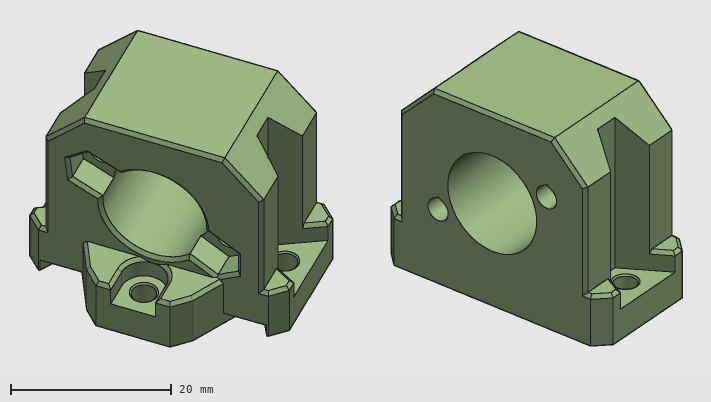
import cadquery as cq
import math


edge_chamfer = 0.5
chamfer_angle = 45

base_length = 35
base_depth = 18.0
base_height = 7.35
base_corner = 2.0

block_width = 29.4
block_height = 28
shoulder_chamfer = 5.25

lug_reach = 6.5
lug_root_half_width = block_width / 2 - shoulder_chamfer
lug_tip_half_width = 5.0
lug_tip_corner = 2.17
lug_embed = 1.75
lug_hole_y = -3.0
lug_seat_radius = 3.0

seat_height = 4.48
screw_diameter = 3.2
screw_rim_chamfer = 0.2

recess_floor_half_width = 1.75
recess_inner_x = 10.95
recess_taper = math.radians(30)
side_hole_x = 14
mid_y = base_depth / 2

bore_diameter = 14
bore_height = 14.98
nut_across_flats = 5.5
half_hexagon_angle = math.radians(30)
nut_pocket_depth = 4.0
nut_offset_x = 8.55
nut_offset_z = 4.15
left_slot_angle = -23.4
right_slot_angle = 150
teardrop_half_angle = math.radians(30)

undercut_height = 1.8
undercut_depth = 1.75
undercut_outer_x = 15.3
undercut_taper = math.radians(30)

lug_shoulder_half_width = lug_tip_half_width + lug_tip_corner
lug_shoulder_y = lug_tip_corner - lug_reach
flank_slope = (lug_root_half_width - lug_shoulder_half_width) / -lug_shoulder_y


def both_sides(solid):
    """Return the solid together with its mirror image across X = 0."""
    return solid.union(solid.mirror("YZ"))


def side_recesses():
    """Tapered vertical channels, open outwards and upwards."""
    outer_x = base_length / 2
    outer_half_width = recess_floor_half_width + (outer_x - recess_inner_x) * math.tan(recess_taper)
    channel = (
        cq.Workplane("XY", origin=(0, 0, seat_height))
        .moveTo(recess_inner_x, mid_y - recess_floor_half_width)
        .lineTo(outer_x, mid_y - outer_half_width)
        .lineTo(outer_x, mid_y + outer_half_width)
        .lineTo(recess_inner_x, mid_y + recess_floor_half_width)
        .close()
        .extrude(block_height)
    )
    return both_sides(channel)


def base_plate():
    """Plate with clipped corners and chamfered upper edges."""
    plate = (
        cq.Workplane("XY")
        .box(base_length, base_depth, base_height, centered=(True, False, False))
        .edges("|Z")
        .chamfer(base_corner)
    )
    return plate.cut(side_recesses()).faces(">Z").edges().chamfer(edge_chamfer)


def front_lug():
    """Tapered lug whose root is buried in the block."""
    root_half_width = lug_root_half_width + lug_embed * flank_slope
    lug = (
        cq.Workplane("XY")
        .moveTo(-lug_tip_half_width, -lug_reach)
        .lineTo(lug_tip_half_width, -lug_reach)
        .lineTo(lug_shoulder_half_width, lug_shoulder_y)
        .lineTo(root_half_width, lug_embed)
        .lineTo(-root_half_width, lug_embed)
        .lineTo(-lug_shoulder_half_width, lug_shoulder_y)
        .close()
        .extrude(base_height)
    )
    seat = (
        cq.Workplane("XY", origin=(0, 0, seat_height))
        .moveTo(-lug_seat_radius, -lug_reach)
        .lineTo(-lug_seat_radius, lug_hole_y)
        .threePointArc((0, lug_hole_y + lug_seat_radius), (lug_seat_radius, lug_hole_y))
        .lineTo(lug_seat_radius, -lug_reach)
        .close()
        .extrude(base_height)
    )
    return lug.cut(seat).faces(">Z").edges().chamfer(edge_chamfer)


def nut_outline(x, z, slot_angle, margin):
    """Hexagon, grown by the margin, whose parallel flats run on towards the bore."""
    half_flats = nut_across_flats / 2 + margin
    corner_radius = half_flats / math.cos(half_hexagon_angle)
    return (
        cq.Workplane("XZ", origin=(x, 0, z))
        .transformed(rotate=(0, 0, slot_angle))
        .moveTo(-corner_radius, 0)
        .lineTo(-corner_radius / 2, -half_flats)
        .lineTo(nut_offset_x, -half_flats)
        .lineTo(nut_offset_x, half_flats)
        .lineTo(-corner_radius / 2, half_flats)
        .close()
    )


def nut_pocket(x, z, slot_angle):
    """Straight-walled nut pocket with a 45 degree chamfer at the front face."""
    pocket = nut_outline(x, z, slot_angle, 0).extrude(-nut_pocket_depth)
    mouth = nut_outline(x, z, slot_angle, edge_chamfer).extrude(-edge_chamfer, taper=chamfer_angle)
    return pocket.union(mouth)


def bearing_bore():
    """Through bore with a 45 degree chamfer at the front face."""
    face = cq.Workplane("XZ", origin=(0, 0, bore_height))
    bore = face.circle(bore_diameter / 2).extrude(-base_depth)
    mouth = face.circle(bore_diameter / 2 + edge_chamfer).extrude(-edge_chamfer, taper=chamfer_angle)
    return bore.union(mouth)


def teardrop_hole(x, z):
    """Round hole with a shallow peaked roof, running the full depth."""
    radius = screw_diameter / 2
    tangent_x = radius * math.sin(teardrop_half_angle)
    tangent_z = radius * math.cos(teardrop_half_angle)
    peak_z = radius / math.cos(teardrop_half_angle)
    return (
        cq.Workplane("XZ", origin=(x, 0, z))
        .moveTo(0, peak_z)
        .lineTo(tangent_x, tangent_z)
        .threePointArc((0, -radius), (-tangent_x, tangent_z))
        .close()
        .extrude(-base_depth)
    )


def block():
    """Upright block with the bore, nut pockets and bolt holes."""
    left_nut = (-nut_offset_x, bore_height + nut_offset_z)
    right_nut = (nut_offset_x, bore_height - nut_offset_z)
    body = (
        cq.Workplane("XY")
        .box(block_width, base_depth, block_height, centered=(True, False, False))
        .edges("|Y and >Z")
        .chamfer(shoulder_chamfer)
        .faces("<Y or >Y")
        .edges()
        .chamfer(edge_chamfer)
    )
    body = body.cut(bearing_bore())
    body = body.cut(nut_pocket(*left_nut, left_slot_angle))
    body = body.cut(nut_pocket(*right_nut, right_slot_angle))
    body = body.cut(teardrop_hole(*left_nut)).cut(teardrop_hole(*right_nut))
    return body.cut(side_recesses())


def screw_hole(x, y):
    """Vertical through hole with a chamfered rim at seat level."""
    radius = screw_diameter / 2
    rim_radius = radius + screw_rim_chamfer
    return (
        cq.Workplane("XZ", origin=(x, y, 0))
        .lineTo(radius, 0)
        .lineTo(radius, seat_height - screw_rim_chamfer)
        .lineTo(rim_radius, seat_height)
        .lineTo(0, seat_height)
        .close()
        .revolve(360, (0, 0), (0, 1))
    )


def undercuts():
    """Tapered notches; the inner wall carries on the flank of the lug."""
    notch = (
        cq.Workplane("XY")
        .moveTo(lug_root_half_width, 0)
        .lineTo(undercut_outer_x, 0)
        .lineTo(undercut_outer_x - undercut_depth * math.tan(undercut_taper), undercut_depth)
        .lineTo(lug_root_half_width + undercut_depth * flank_slope, undercut_depth)
        .close()
        .extrude(undercut_height)
    )
    return both_sides(notch)


result = base_plate().union(block()).union(front_lug()).cut(undercuts())
for hole_x, hole_y in [
    (-side_hole_x, mid_y),
    (side_hole_x, mid_y),
    (0, lug_hole_y),
]:
    result = result.cut(screw_hole(hole_x, hole_y))